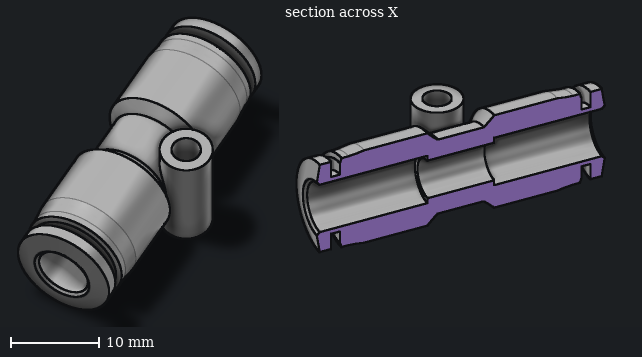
import cadquery as cq

length = 36.4
half_length = length / 2

barrel_diameter = 12.5
cap_diameter = 12.0
cap_face_diameter = 10.77
flange_diameter = 11.8
waist_diameter = 10.0
neck_diameter = 7.7

bore_diameter = 5.0
socket_diameter = 6.3
socket_lip_diameter = 7.03
flange_face_diameter = 7.35

flange_rim_start = 0.35
flange_depth = 1.82
cap_depth = 2.9
cap_rim_start = 3.13
cap_taper_start = 4.0
barrel_start = 6.0
socket_lip_depth = 0.35

barrel_inner_end = 4.22
waist_half_length = 2.9
socket_floor = barrel_inner_end

eye_diameter = 6.0
eye_hole_diameter = 3.3
eye_offset = 6.0
eye_height = barrel_diameter


def revolve_mirrored(diameter_stations):
    """Solid of revolution about Y, symmetric across the XZ plane.

    The stations are (diameter, Y) pairs of the +Y half, running outward.
    """
    outer_half = [(diameter / 2, y) for diameter, y in diameter_stations]
    mirrored_half = [(radius, -y) for radius, y in reversed(outer_half)]
    end_y = outer_half[-1][1]
    points = [(0, -end_y)] + mirrored_half + outer_half + [(0, end_y)]
    profile = cq.Workplane("XY").polyline(points).close()
    return profile.revolve(360, (0, 0, 0), (0, 1, 0))


def make_body():
    return revolve_mirrored([
        (waist_diameter, waist_half_length),
        (barrel_diameter, barrel_inner_end),
        (barrel_diameter, half_length - barrel_start),
        (cap_diameter, half_length - cap_taper_start),
        (cap_diameter, half_length - cap_rim_start),
        (cap_face_diameter, half_length - cap_depth),
        (neck_diameter, half_length - cap_depth),
        (neck_diameter, half_length - flange_depth),
        (flange_diameter, half_length - flange_depth),
        (flange_diameter, half_length - flange_rim_start),
        (flange_face_diameter, half_length),
    ])


def make_bore():
    return revolve_mirrored([
        (bore_diameter, socket_floor),
        (socket_diameter, socket_floor),
        (socket_diameter, half_length - socket_lip_depth),
        (socket_lip_diameter, half_length),
    ])


def eye_cylinder(diameter):
    base = cq.Workplane("XY", origin=(eye_offset, 0, -eye_height / 2))
    return base.circle(diameter / 2).extrude(eye_height)


body = make_body().union(eye_cylinder(eye_diameter))
result = body.cut(make_bore()).cut(eye_cylinder(eye_hole_diameter))